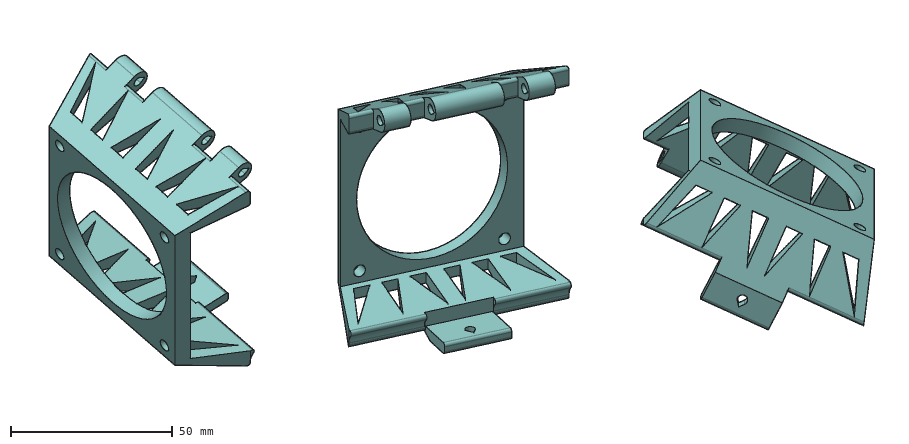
import cadquery as cq
import math


plate_width = 60.0
plate_thickness = 5.0
opening_diameter = 52.0
screw_hole_diameter = 4.0
screw_hole_spacing = 50.0

wing_inner_z = 29.0
wing_end_width = 76.0
edge_radius = 1.0

overall_height = 84.6
hinge_y = 28.0
barrel_radius = 3.7
barrel_clearance = 0.3
centre_knuckle_half_width = 11.85
side_knuckle_start = 20.4
side_knuckle_end = 29.4

teardrop_radius = 1.6
teardrop_point = 2.6

tab_width = 23.2
tab_end_y = 37.5
tab_hole_y = 31.7

window_base_y = 7.0
window_apex_y = 22.3
window_base_width = 5.6
window_start_x = 3.05
window_base_pitch = 9.7
window_apex_pitch = 15.5
windows_per_side = 3

plate_half = plate_width / 2
hinge_z = overall_height / 2 - barrel_radius
clearance_radius = barrel_radius + barrel_clearance
wing_end_y = hinge_y - clearance_radius


def tangent_angle(start_y, start_z, side):
    """Angle from +Y of the line from a point tangent to the upper barrel; side +1 above, -1 below."""
    run = hinge_y - start_y
    rise = hinge_z - start_z
    return math.atan2(rise, run) + side * math.asin(barrel_radius / math.hypot(run, rise))


outer_angle = tangent_angle(0, plate_half, 1)
inner_angle = tangent_angle(plate_thickness, wing_inner_z, -1)


def outer_z(y):
    """Height of the upper wing's outer face."""
    return plate_half + y * math.tan(outer_angle)


def inner_z(y):
    """Height of the upper wing's inner face."""
    return wing_inner_z + (y - plate_thickness) * math.tan(inner_angle)


outer_tangent = (
    hinge_y - barrel_radius * math.sin(outer_angle),
    hinge_z + barrel_radius * math.cos(outer_angle),
)
inner_tangent = (
    hinge_y + barrel_radius * math.sin(inner_angle),
    hinge_z - barrel_radius * math.cos(inner_angle),
)


def across(x_start):
    """YZ sketch plane at the given X, extruding towards +X."""
    return cq.Workplane("YZ", origin=(x_start, 0, 0))


def make_teardrop(plane, y, offset):
    """Teardrop sketch whose point faces +Y, drawn on a plane about the centre (y, offset)."""
    half_angle = math.acos(teardrop_radius / teardrop_point)
    touch_y = y + teardrop_radius * math.cos(half_angle)
    touch_offset = teardrop_radius * math.sin(half_angle)
    return (
        plane.moveTo(y + teardrop_point, offset)
        .lineTo(touch_y, offset + touch_offset)
        .threePointArc((y - teardrop_radius, offset), (touch_y, offset - touch_offset))
        .close()
    )


def make_frame():
    """Plate and both wings as one C-shaped section, with the wing end edges rounded."""
    upper = [
        (0, plate_half),
        (wing_end_y, outer_z(wing_end_y)),
        (wing_end_y, inner_z(wing_end_y)),
        (plate_thickness, wing_inner_z),
    ]
    lower = [(y, -z) for y, z in reversed(upper)]
    frame = across(-wing_end_width / 2).polyline(upper + lower).close().extrude(wing_end_width)
    frame = frame.faces(">Y").edges("|X and >Z").fillet(edge_radius)
    frame = frame.faces(">Y").edges("|X and <Z").fillet(edge_radius)
    upper_inner_edge = cq.selectors.NearestToPointSelector((0, wing_end_y, inner_z(wing_end_y)))
    return frame.edges(upper_inner_edge).fillet(edge_radius)


def make_lip():
    """Rounded lip along the lower wing's inner face, hollowed to clear a mating barrel."""
    root_y = wing_end_y - edge_radius
    lip = (
        across(-wing_end_width / 2)
        .polyline([
            (root_y, -inner_z(root_y)),
            (inner_tangent[0], -inner_tangent[1]),
            (hinge_y, -hinge_z),
            (root_y, -hinge_z),
        ])
        .close()
        .extrude(wing_end_width)
    )
    mating_barrel = (
        across(-wing_end_width / 2).center(hinge_y, -hinge_z).circle(clearance_radius).extrude(wing_end_width)
    )
    lip = lip.cut(mating_barrel).edges("|X and >Y").fillet(edge_radius)
    tab_gap = cq.Workplane().box(
        2 * centre_knuckle_half_width, 2 * clearance_radius, overall_height
    ).translate((0, wing_end_y + clearance_radius, 0))
    return lip.cut(tab_gap)


def make_side_limits():
    """Plan outline of the part: tapered along the wings, straight behind them."""
    half_end = wing_end_width / 2
    outline = [
        (-plate_half, 0),
        (plate_half, 0),
        (half_end, wing_end_y),
        (half_end, tab_end_y),
        (-half_end, tab_end_y),
        (-half_end, wing_end_y),
    ]
    return cq.Workplane("XY").polyline(outline).close().extrude(overall_height / 2, both=True)


def make_knuckle(x_start, x_end):
    """Upper wing continued tangentially into a hinge barrel."""
    return (
        across(x_start)
        .moveTo(0, plate_half)
        .lineTo(*outer_tangent)
        .threePointArc((hinge_y + barrel_radius, hinge_z), inner_tangent)
        .lineTo(plate_thickness, wing_inner_z)
        .close()
        .extrude(x_end - x_start)
    )


def make_tab():
    """Flat latch tab flush with the lower wing's outer face, with rounded end edges."""
    bottom_z = -overall_height / 2
    root_y = wing_end_y - 2 * edge_radius
    slope_end_y = (overall_height / 2 - plate_half) / math.tan(outer_angle)
    tab = (
        across(-tab_width / 2)
        .polyline([
            (root_y, -hinge_z),
            (tab_end_y, -hinge_z),
            (tab_end_y, bottom_z),
            (slope_end_y, bottom_z),
            (root_y, -outer_z(root_y)),
        ])
        .close()
        .extrude(tab_width)
        .faces(">Y").edges("|X").fillet(edge_radius)
    )
    hole_plane = cq.Workplane(cq.Plane(origin=(0, 0, 0), xDir=(0, 1, 0), normal=(0, 0, -1)))
    return tab.cut(make_teardrop(hole_plane, tab_hole_y, 0).extrude(overall_height / 2))


def make_window(index, side):
    """Vertical triangular prism passing through both wings."""
    base_x = window_start_x + index * window_base_pitch
    apex_x = window_start_x + index * window_apex_pitch
    corners = [
        (side * base_x, window_base_y),
        (side * (base_x + window_base_width), window_base_y),
        (side * apex_x, window_apex_y),
    ]
    return cq.Workplane("XY").polyline(corners).close().extrude(overall_height / 2, both=True)


result = make_frame().union(make_lip()).intersect(make_side_limits())
knuckle_spans = [
    (-side_knuckle_end, -side_knuckle_start),
    (-centre_knuckle_half_width, centre_knuckle_half_width),
    (side_knuckle_start, side_knuckle_end),
]
for x_start, x_end in knuckle_spans:
    result = result.union(make_knuckle(x_start, x_end))
result = result.union(make_tab())

pin_hole = make_teardrop(across(-wing_end_width / 2), hinge_y, hinge_z).extrude(wing_end_width)
result = result.cut(pin_hole)

for index in range(windows_per_side):
    for side in (-1, 1):
        result = result.cut(make_window(index, side))

front_plane = cq.Workplane("XZ")
result = result.cut(front_plane.circle(opening_diameter / 2).extrude(-plate_thickness))
screw_holes = (
    front_plane.rect(screw_hole_spacing, screw_hole_spacing, forConstruction=True)
    .vertices()
    .circle(screw_hole_diameter / 2)
    .extrude(-plate_thickness)
)
result = result.cut(screw_holes)